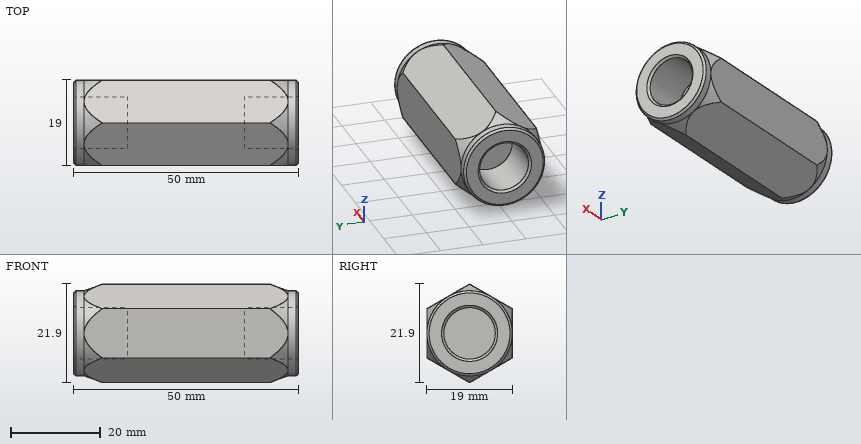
import cadquery as cq
import math

length = 50.0
across_flats = 19.0
across_corners = across_flats / math.cos(math.radians(30))

collar_diameter = across_flats
collar_length = 2.3
collar_chamfer = 0.5
corner_taper_angle = 20.0

bore_diameter = 11.45
bore_mouth_diameter = 12.5
bore_depth = 12.0


def make_hex_bar():
    """Hexagonal bar with two corners on the Z axis."""
    return (
        cq.Workplane("YZ")
        .polygon(6, across_corners)
        .extrude(length)
        .rotate((0, 0, 0), (1, 0, 0), 90)
    )


def make_turned_envelope():
    """Solid of revolution that rounds the collars and tapers the hexagon corners."""
    collar_radius = collar_diameter / 2
    corner_radius = across_corners / 2
    face_radius = collar_radius - collar_chamfer
    taper_length = (corner_radius - collar_radius) / math.tan(math.radians(corner_taper_angle))
    taper_end = collar_length + taper_length
    return (
        cq.Workplane("XY")
        .moveTo(0, 0)
        .lineTo(0, face_radius)
        .lineTo(collar_chamfer, collar_radius)
        .lineTo(collar_length, collar_radius)
        .lineTo(taper_end, corner_radius)
        .lineTo(length - taper_end, corner_radius)
        .lineTo(length - collar_length, collar_radius)
        .lineTo(length - collar_chamfer, collar_radius)
        .lineTo(length, face_radius)
        .lineTo(length, 0)
        .close()
        .revolve(360, (0, 0, 0), (1, 0, 0))
    )


def make_bore():
    """Flat-bottomed bore in the -X end with a 45 degree countersunk mouth."""
    bore_radius = bore_diameter / 2
    mouth_radius = bore_mouth_diameter / 2
    mouth_depth = mouth_radius - bore_radius
    return (
        cq.Workplane("XY")
        .moveTo(0, 0)
        .lineTo(0, mouth_radius)
        .lineTo(mouth_depth, bore_radius)
        .lineTo(bore_depth, bore_radius)
        .lineTo(bore_depth, 0)
        .close()
        .revolve(360, (0, 0, 0), (1, 0, 0))
    )


bar = make_hex_bar().intersect(make_turned_envelope())
left_bore = make_bore()
right_bore = left_bore.mirror("YZ").translate((length, 0, 0))
result = bar.cut(left_bore).cut(right_bore)